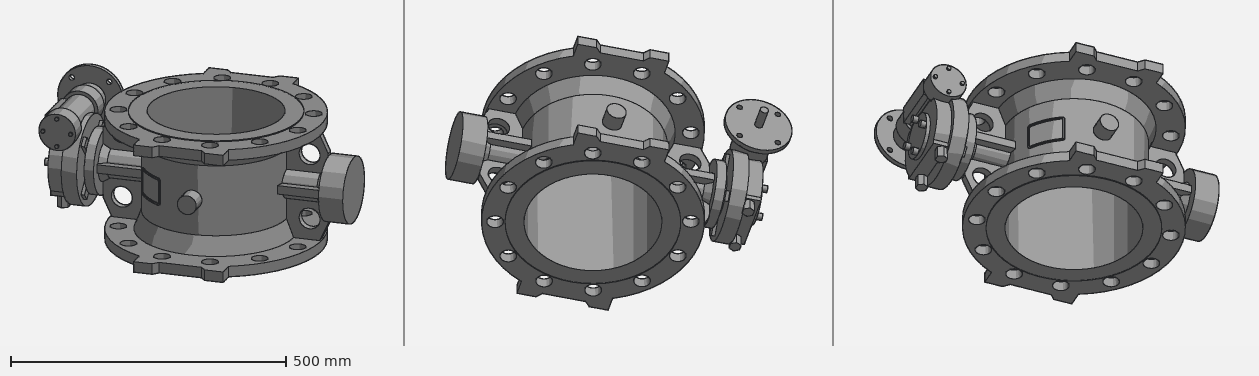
import cadquery as cq
import math


bore_dia = 250.0
half_height = 125.0
raised_face_dia = 319.0
raised_face_height = 2.0
flange_dia = 404.5
flange_thickness = 20.5
barrel_dia = 271.5
barrel_half_height = 67.5
cone_dia = 298.5
flange_outer_z = half_height - raised_face_height
flange_inner_z = flange_outer_z - flange_thickness

bolt_circle_dia = 355.0
bolt_hole_dia = 30.0
bolt_count = 12
foot_half_width = 85.5
foot_span = 430.0
foot_reach = foot_span / 2
foot_recess_reach = 204.0
recess_outer_half_width = 50.0
recess_inner_half_width = 40.5

pin_dia = 36.0
pin_reach = 167.0
nameplate_angle = 225
nameplate_length = 73.0
nameplate_height = 52.5
nameplate_corner = 6.0
nameplate_border = 3.5
nameplate_rise = 2.0

shaft_y = 5.0
neck_dia = 58.0
neck_cone_dia = 75.0
neck_cone_x = 201.0
boss_inner_x = 215.0
boss_dia = 125.0
drive_boss_thickness = 18.0
end_boss_outer_x = 262.0
rib_width = 85.5
rib_thickness = 16.0
web_thickness = 14.5
web_root_x = 199.0
web_shoulder_z = 67.5
web_hole_dia = 40.0
web_hole_x = 179.5
web_hole_z = 62.0
root_x = 128.0

drive_boss_outer_x = -(boss_inner_x + drive_boss_thickness)
spider_thickness = 6.5
spider_hub_dia = 79.5
spider_arm_reach = 75.5
spider_arm_width = 19.0
back_plate_x = drive_boss_outer_x - spider_thickness
back_plate_thickness = 29.5
back_plate_dia = 170.0
gear_case_x = back_plate_x - back_plate_thickness
gear_case_thickness = 29.0
gear_case_dia = 149.5
gear_case_height = 110.5
gear_case_half_height = gear_case_height / 2
gear_case_foot_half_width = 58.5
gear_case_foot_height = 11.0
cap_x = gear_case_x - gear_case_thickness
cap_thickness = 7.0
cap_dia = 87.0
cap_screw_x = cap_x - cap_thickness
cap_screw_height = 10.0
cap_screw_dia = 13.0
cap_screw_radius = 36.0
screw_count = 4
stop_bolt_x = -278.0
stop_bolt_spacing = 93.0
stop_bolt_corner_dia = 23.0
stop_bolt_height = 22.5

worm_x = -278.5
worm_z = 76.5
worm_tube_dia = 57.0
collar_dia = 70.0
collar_reach = 81.5
collar_length = 34.5
pad_height = 34.5
input_neck_dia = 58.5
input_flange_dia = 125.5
input_flange_thickness = 9.5
input_flange_end_y = 123.0
input_flange_hole_dia = 10.0
input_flange_hole_radius = 50.5
input_shaft_dia = 15.0
input_shaft_end_y = 163.0
end_screw_dia = 7.0
end_screw_height = 3.5
end_screw_radius = 26.5


def x_cylinder(dia, x_start, x_end, y=shaft_y, z=0.0):
    return cq.Workplane("YZ", origin=(x_start, y, z)).circle(dia / 2).extrude(x_end - x_start)


def y_cylinder(dia, y_start, y_end, x=0.0, z=0.0):
    return cq.Workplane("XZ", origin=(x, y_start, z)).circle(dia / 2).extrude(y_start - y_end)


def block(x_range, y_range, z_range):
    low, high = zip(x_range, y_range, z_range)
    size = [end - start for start, end in zip(low, high)]
    return cq.Workplane("XY").box(*size, centered=False).translate(low)


def make_barrel():
    """Barrel with flared ends and raised sealing faces, still solid inside."""
    half_profile = [
        (barrel_dia / 2, barrel_half_height),
        (cone_dia / 2, flange_inner_z),
        (cone_dia / 2, flange_outer_z),
        (raised_face_dia / 2, flange_outer_z),
        (raised_face_dia / 2, half_height),
        (0, half_height),
    ]
    mirrored = [(radius, -z) for radius, z in reversed(half_profile)]
    outline = cq.Workplane("XZ").polyline(mirrored + half_profile).close()
    return outline.revolve(360, (0, 0, 0), (0, 1, 0))


def make_flange(bottom_z):
    """Round flange with a notched flat foot on both Y sides and a ring of bolt holes."""
    half_foot = [
        (foot_half_width, 0),
        (foot_half_width, foot_reach),
        (recess_outer_half_width, foot_reach),
        (recess_inner_half_width, foot_recess_reach),
    ]
    foot_outline = half_foot + [(-x, y) for x, y in reversed(half_foot)]
    plane = cq.Workplane("XY", origin=(0, 0, bottom_z))
    foot = plane.polyline(foot_outline).close().extrude(flange_thickness)
    flange = plane.circle(flange_dia / 2).extrude(flange_thickness)
    flange = flange.union(foot).union(foot.mirror("XZ"))
    half_step = 180 / bolt_count
    holes = (
        plane.polarArray(bolt_circle_dia / 2, half_step, 360, bolt_count)
        .circle(bolt_hole_dia / 2)
        .extrude(flange_thickness)
    )
    return flange.cut(holes)


def make_side_support():
    """Neck, horizontal rib and drilled web on the +X side."""
    neck = x_cylinder(neck_dia, root_x, boss_inner_x)
    flare = (
        cq.Workplane("YZ", origin=(neck_cone_x, shaft_y, 0))
        .circle(neck_dia / 2)
        .workplane(offset=boss_inner_x - neck_cone_x)
        .circle(neck_cone_dia / 2)
        .loft()
    )
    rib_y = (shaft_y - rib_width / 2, shaft_y + rib_width / 2)
    rib = block((root_x, boss_inner_x), rib_y, (-rib_thickness / 2, rib_thickness / 2))
    half_web = [
        (root_x, flange_inner_z),
        (web_root_x, flange_inner_z),
        (boss_inner_x, web_shoulder_z),
    ]
    web_outline = half_web + [(x, -z) for x, z in reversed(half_web)]
    web_plane = cq.Workplane("XZ", origin=(0, shaft_y + web_thickness / 2, 0))
    web = web_plane.polyline(web_outline).close().extrude(web_thickness)
    hole_centers = [(web_hole_x, web_hole_z), (web_hole_x, -web_hole_z)]
    web = web.cut(web_plane.pushPoints(hole_centers).circle(web_hole_dia / 2).extrude(web_thickness))
    return neck.union(flare).union(rib).union(web)


def make_nameplate_frame():
    """Raised rounded frame that follows the barrel."""
    angle = math.radians(nameplate_angle)
    outward = (math.cos(angle), math.sin(angle), 0)
    along = (-math.sin(angle), math.cos(angle), 0)
    frame_radius = barrel_dia / 2 + nameplate_rise
    plane = cq.Workplane(cq.Plane(origin=(0, 0, 0), xDir=along, normal=outward))

    def rounded_prism(inset):
        outline = (
            cq.Sketch()
            .rect(nameplate_length - 2 * inset, nameplate_height - 2 * inset)
            .vertices()
            .fillet(nameplate_corner - inset)
        )
        return plane.placeSketch(outline).extrude(2 * frame_radius)

    barrel_envelope = cq.Workplane("XY", origin=(0, 0, -nameplate_height / 2))
    barrel_envelope = barrel_envelope.circle(frame_radius).extrude(nameplate_height)
    return rounded_prism(0).cut(rounded_prism(nameplate_border)).intersect(barrel_envelope)


def make_spider():
    """Hub with four diagonal arms between the drive boss and the gearbox."""
    spider = x_cylinder(spider_hub_dia, back_plate_x, drive_boss_outer_x)
    cross_plane = cq.Workplane("YZ", origin=(back_plate_x, shaft_y, 0))
    for angle in (45, -45):
        arm = cross_plane.transformed(rotate=(0, 0, angle)).rect(2 * spider_arm_reach, spider_arm_width)
        spider = spider.union(arm.extrude(spider_thickness))
    return spider


def make_gear_case():
    """Round gear case cut flat above and below, with square lower corners."""
    case = x_cylinder(gear_case_dia, cap_x, gear_case_x)
    case_x = (cap_x, gear_case_x)
    case_y = (shaft_y - gear_case_dia / 2, shaft_y + gear_case_dia / 2)
    case = case.intersect(block(case_x, case_y, (-gear_case_half_height, gear_case_half_height)))
    foot_y = (shaft_y - gear_case_foot_half_width, shaft_y + gear_case_foot_half_width)
    foot_z = (-gear_case_half_height, gear_case_foot_height - gear_case_half_height)
    return case.union(block(case_x, foot_y, foot_z))


def make_cap():
    """Round cover with four screw heads."""
    cap = x_cylinder(cap_dia, cap_screw_x, cap_x)
    screws = (
        cq.Workplane("YZ", origin=(cap_screw_x, shaft_y, 0))
        .polarArray(cap_screw_radius, 0, 360, screw_count)
        .circle(cap_screw_dia / 2)
        .extrude(-cap_screw_height)
    )
    return cap.union(screws)


def make_stop_bolts():
    """Two hexagon heads below the gear case."""
    return (
        cq.Workplane("XY", origin=(stop_bolt_x, shaft_y, -gear_case_half_height))
        .transformed(rotate=(0, 0, 90))
        .rarray(stop_bolt_spacing, 6, 2, 1)
        .polygon(6, stop_bolt_corner_dia)
        .extrude(-stop_bolt_height)
    )


def make_worm_housing():
    """Worm tube with end collars, front pad, input flange, input shaft and end screws."""
    far_y = shaft_y + collar_reach
    near_y = shaft_y - collar_reach
    flange_start_y = input_flange_end_y - input_flange_thickness
    sections = [
        (worm_tube_dia, near_y, far_y),
        (collar_dia, near_y, near_y + collar_length),
        (collar_dia, far_y - collar_length, far_y),
        (input_neck_dia, far_y, flange_start_y),
        (input_flange_dia, flange_start_y, input_flange_end_y),
        (input_shaft_dia, input_flange_end_y, input_shaft_end_y),
    ]
    pad_x = (worm_x - collar_dia / 2, worm_x)
    pad_y = (near_y + collar_length, far_y - collar_length)
    pad_z = (worm_z - pad_height / 2, worm_z + pad_height / 2)
    housing = block(pad_x, pad_y, pad_z)
    for dia, y_start, y_end in sections:
        housing = housing.union(y_cylinder(dia, y_start, y_end, worm_x, worm_z))
    flange_holes = (
        cq.Workplane("XZ", origin=(worm_x, input_flange_end_y, worm_z))
        .polarArray(input_flange_hole_radius, 45, 360, screw_count)
        .circle(input_flange_hole_dia / 2)
        .extrude(input_flange_thickness)
    )
    end_screws = (
        cq.Workplane("XZ", origin=(worm_x, near_y, worm_z))
        .polarArray(end_screw_radius, 0, 360, screw_count)
        .circle(end_screw_dia / 2)
        .extrude(end_screw_height)
    )
    return housing.cut(flange_holes).union(end_screws)


body = make_barrel()
body = body.union(make_flange(flange_inner_z)).union(make_flange(-flange_outer_z))
body = body.union(y_cylinder(pin_dia, -pin_reach, pin_reach))
body = body.union(make_nameplate_frame())
support = make_side_support()
body = body.union(support).union(support.mirror("YZ"))
body = body.union(x_cylinder(boss_dia, boss_inner_x, end_boss_outer_x))
body = body.union(x_cylinder(boss_dia, drive_boss_outer_x, -boss_inner_x))
body = body.cut(cq.Workplane("XY", origin=(0, 0, -half_height)).circle(bore_dia / 2).extrude(2 * half_height))

gearbox = x_cylinder(back_plate_dia, gear_case_x, back_plate_x)
for piece in (make_spider(), make_gear_case(), make_cap(), make_stop_bolts(), make_worm_housing()):
    gearbox = gearbox.union(piece)

result = body.union(gearbox)